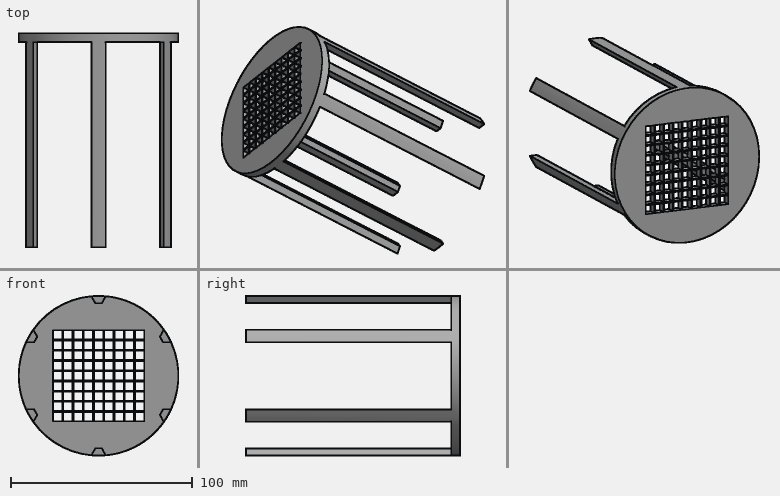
import cadquery as cq
import math

length = 118.0
disc_diameter = 88.0
disc_thickness = 5.0

leg_count = 6
leg_outer_width = 8.0
leg_inner_radius = 40.0
leg_side_angle = 30.0

grid_count = 9
grid_span = 50.0
window_size = 5.0

rim_overshoot = 5.9

disc_radius = disc_diameter / 2
leg_length = length - disc_thickness
leg_end = -length / 2
disc_front = leg_end + leg_length
window_pitch = (grid_span - window_size) / (grid_count - 1)
trim_radius = disc_radius + rim_overshoot


def plane_at(y):
    """Plane across the disc axis at the given Y, facing +Y, with local y along +Z."""
    return cq.Workplane(cq.Plane(origin=(0, y, 0), xDir=(-1, 0, 0), normal=(0, 1, 0)))


def make_wedge():
    """Triangular prism holding the sides of the top leg, reaching past the rim."""
    slope = math.tan(math.radians(leg_side_angle))
    half_width = leg_outer_width / 2
    corner_height = math.sqrt(disc_radius**2 - half_width**2)
    apex_height = corner_height - half_width / slope
    top_height = trim_radius + rim_overshoot
    top_half_width = (top_height - apex_height) * slope
    return (
        plane_at(leg_end)
        .moveTo(0, apex_height)
        .lineTo(top_half_width, top_height)
        .lineTo(-top_half_width, top_height)
        .close()
        .extrude(leg_length)
    )


def make_space_around_legs():
    """Everything below the disc that is not a leg: the gaps between legs and the open core."""
    space = plane_at(leg_end).circle(trim_radius).extrude(leg_length)
    wedge = make_wedge()
    for index in range(leg_count):
        angle = index * 360 / leg_count
        space = space.cut(wedge.rotate((0, 0, 0), (0, 1, 0), angle))
    core = plane_at(leg_end).circle(leg_inner_radius).extrude(leg_length)
    return space.union(core)


def make_windows():
    return (
        plane_at(disc_front)
        .rarray(window_pitch, window_pitch, grid_count, grid_count)
        .rect(window_size, window_size)
        .extrude(disc_thickness)
    )


body = plane_at(leg_end).circle(disc_radius).extrude(length)
result = body.cut(make_space_around_legs()).cut(make_windows())